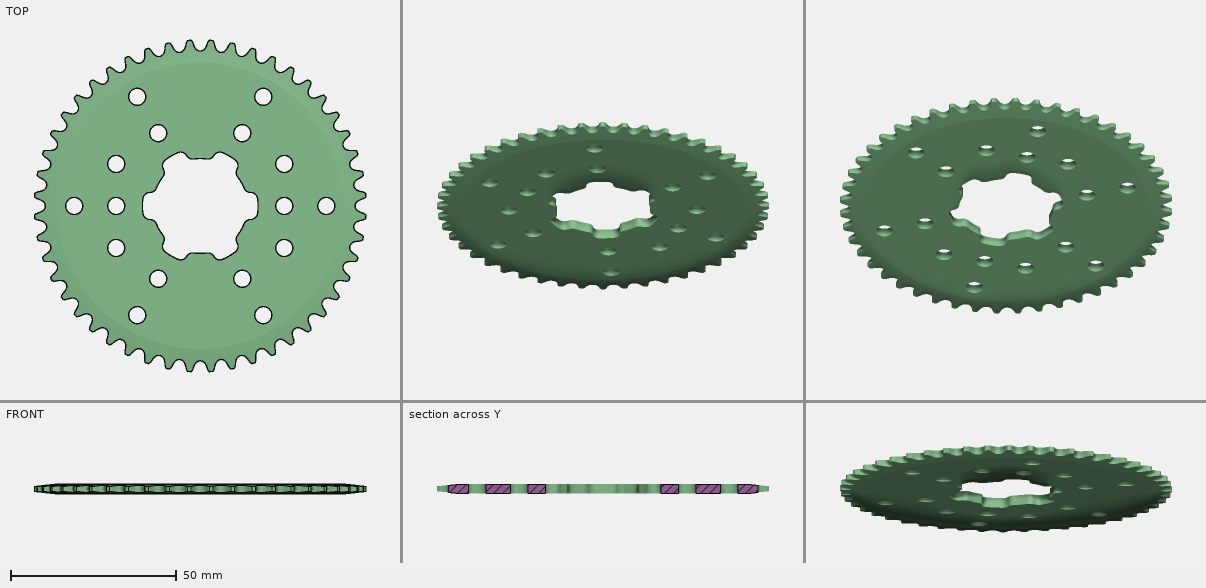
import math

import cadquery as cq

TOOTH_COUNT = 48
CHAIN_PITCH = 6.35
ROLLER_DIAMETER = 3.302
TIP_RADIUS = 50.195
SEAT_CLEARANCE = 0.046

HALF_TOOTH_ANGLE = math.pi / TOOTH_COUNT
PITCH_RADIUS = CHAIN_PITCH / (2 * math.sin(HALF_TOOTH_ANGLE))
SEAT_RADIUS = ROLLER_DIAMETER / 2 + SEAT_CLEARANCE
ROOT_RADIUS = PITCH_RADIUS - SEAT_RADIUS
SEAT_ANGLE = math.radians(35 + 60 / TOOTH_COUNT)
WORKING_ANGLE = math.radians(18 - 56 / TOOTH_COUNT)
WORKING_CENTER_OFFSET = 0.8 * ROLLER_DIAMETER
TOPPING_CENTER_OFFSET = 1.4 * ROLLER_DIAMETER

THICKNESS = 3.0
FACE_RADIUS = 43.35
TIP_THICKNESS = 1.5

BORE_RADIUS = 14.3
LOBE_COUNT = 6
LOBE_RADIUS = 17.45
LOBE_WIDTH = 8.1
LOBE_FILLET = 2.1

GRID = 12.7
CORNER_HOLE_X = 2 * GRID
CORNER_HOLE_Y = GRID
HOLE_DIAMETER = 5.1
HOLE_CIRCLE_RADII = (2 * GRID, 3 * GRID)
HOLES_PER_CIRCLE = 6


def polar(radius, angle):
    """Point at a radius and angle (radians) about the origin."""
    return (radius * math.cos(angle), radius * math.sin(angle))


def bottom_plane():
    """Workplane on the lower face of the plate."""
    return cq.Workplane("XY").workplane(offset=-THICKNESS / 2)


def below_tangent(distance, angle, start):
    """Point at a distance from start, at an angle turned inward from the +Y tangent direction."""
    return (start[0] - distance * math.sin(angle), start[1] + distance * math.cos(angle))


def flank_points():
    """Points along the +Y flank of the tooth gap centered on +X, from root to tip.

    They are the seat end, the middle and end of the concave working arc, the start of the
    convex topping arc (after a short straight), and the middle and end of the topping arc.
    """
    roller = (PITCH_RADIUS, 0)
    working_center = below_tangent(-WORKING_CENTER_OFFSET, SEAT_ANGLE, roller)
    working_radius = SEAT_RADIUS + WORKING_CENTER_OFFSET
    straight_normal = SEAT_ANGLE - WORKING_ANGLE
    topping_center = below_tangent(TOPPING_CENTER_OFFSET, HALF_TOOTH_ANGLE, roller)
    topping_radius = (
        WORKING_CENTER_OFFSET * math.cos(WORKING_ANGLE)
        + TOPPING_CENTER_OFFSET * math.cos(straight_normal - HALF_TOOTH_ANGLE)
        - working_radius
    )

    center_radius = math.hypot(*topping_center)
    center_angle = math.atan2(topping_center[1], topping_center[0])
    cosine = (center_radius**2 + TIP_RADIUS**2 - topping_radius**2) / (2 * center_radius * TIP_RADIUS)
    flank_end = polar(TIP_RADIUS, center_angle - math.acos(cosine))
    end_normal = math.atan2(flank_end[0] - topping_center[0], topping_center[1] - flank_end[1])

    return (
        below_tangent(SEAT_RADIUS, SEAT_ANGLE, roller),
        below_tangent(working_radius, SEAT_ANGLE - WORKING_ANGLE / 2, working_center),
        below_tangent(working_radius, straight_normal, working_center),
        below_tangent(-topping_radius, straight_normal, topping_center),
        below_tangent(-topping_radius, (straight_normal + end_normal) / 2, topping_center),
        flank_end,
    )


def turned(point, angle):
    """Point turned about the origin by an angle in radians."""
    return polar(math.hypot(*point), math.atan2(point[1], point[0]) + angle)


def toothed_blank():
    """Full-thickness disc whose outline runs gap by gap around all the teeth."""
    rising = flank_points()
    falling = [(x, -y) for x, y in reversed(rising)]
    outline = bottom_plane().moveTo(*falling[0])
    for tooth in range(TOOTH_COUNT):
        gap = 2 * HALF_TOOTH_ANGLE * tooth
        down = [turned(point, gap) for point in falling]
        up = [turned(point, gap) for point in rising]
        next_flank = turned(falling[0], gap + 2 * HALF_TOOTH_ANGLE)
        outline = (
            outline.threePointArc(down[1], down[2])
            .lineTo(*down[3])
            .threePointArc(down[4], down[5])
            .threePointArc(polar(ROOT_RADIUS, gap), up[0])
            .threePointArc(up[1], up[2])
            .lineTo(*up[3])
            .threePointArc(up[4], up[5])
            .threePointArc(polar(TIP_RADIUS, gap + HALF_TOOTH_ANGLE), next_flank)
        )
    return outline.close().extrude(THICKNESS)


def rim_envelope():
    """Turned body that tapers both faces from the face edge to the tooth tips."""
    return (
        cq.Workplane("XZ")
        .moveTo(0, -THICKNESS / 2)
        .lineTo(FACE_RADIUS, -THICKNESS / 2)
        .lineTo(TIP_RADIUS, -TIP_THICKNESS / 2)
        .lineTo(TIP_RADIUS, TIP_THICKNESS / 2)
        .lineTo(FACE_RADIUS, THICKNESS / 2)
        .lineTo(0, THICKNESS / 2)
        .close()
        .revolve(360, (0, 0), (0, 1))
    )


def spline_bore():
    """Round bore with six round-ended lobes, every corner filleted."""
    bore = bottom_plane().circle(BORE_RADIUS).extrude(THICKNESS)
    lobe_limit = bottom_plane().circle(LOBE_RADIUS).extrude(THICKNESS)
    for pair in range(LOBE_COUNT // 2):
        lobes = cq.Workplane("XY").box(2 * LOBE_RADIUS, LOBE_WIDTH, THICKNESS).intersect(lobe_limit)
        bore = bore.union(lobes.rotate((0, 0, 0), (0, 0, 1), pair * 360 / LOBE_COUNT))
    return bore.edges("|Z").fillet(LOBE_FILLET)


def mounting_holes():
    """Two six-hole circles plus four holes at the corners of a rectangle."""
    centers = [(x * CORNER_HOLE_X, y * CORNER_HOLE_Y) for x in (-1, 1) for y in (-1, 1)]
    for radius in HOLE_CIRCLE_RADII:
        for index in range(HOLES_PER_CIRCLE):
            centers.append(polar(radius, 2 * math.pi * index / HOLES_PER_CIRCLE))
    return bottom_plane().pushPoints(centers).circle(HOLE_DIAMETER / 2).extrude(THICKNESS)


sprocket = rim_envelope().intersect(toothed_blank())
result = sprocket.cut(spline_bore()).cut(mounting_holes())